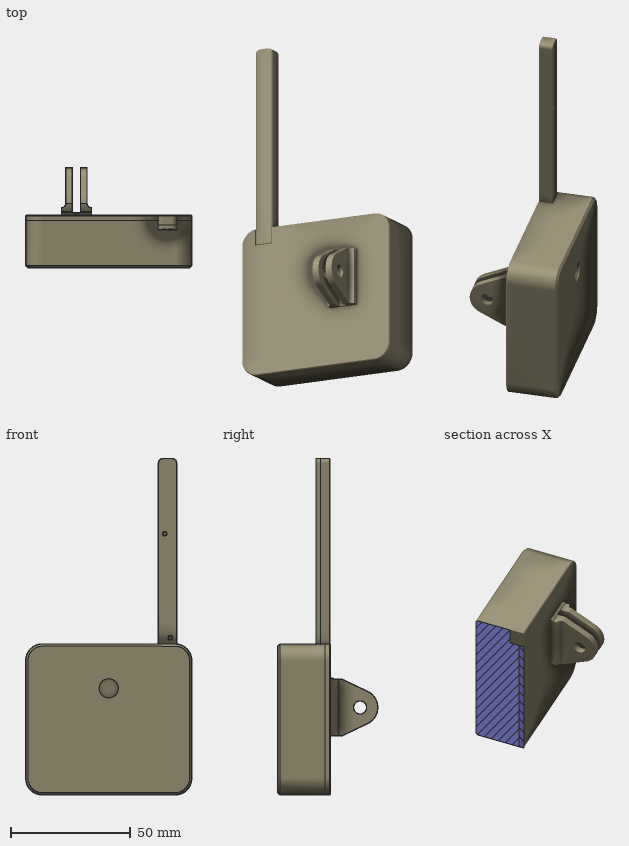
import cadquery as cq
import math


case_width = 69.7
case_height = 63.3
case_depth = 22.1
corner_radius = 7.0
front_chamfer = 1.0
rear_chamfer = 0.35
cover_depth = 2.3

button_diameter = 8.0
button_depth = 2.0
button_z = 44.7

slot_left = 20.6
slot_width = 8.0
slot_height = 7.0
slot_depth = 6.3
slot_right = slot_left + slot_width
slot_floor = case_height - slot_height

clearance = 0.1
antenna_top = 141.0
antenna_corner_radius = 2.0
antenna_width = slot_width - 2 * clearance
antenna_rear = -clearance
antenna_front = -6.0
antenna_seam = -4.1

light_holes = [(23.4, 109.4), (25.8, 65.9)]
light_hole_diameter = 1.5
countersink_diameter = 2.0
light_hole_depth = 1.0

bracket_x = -13.5
bracket_z = 36.7
bracket_width = 12.7
bracket_height = 23.8
plate_depth = 1.0
lip_rise = 0.4
base_depth = 3.1
arm_thickness = 2.8
arm_pitch = 6.2
arm_fillet = 1.7
pivot_reach = 12.4
pivot_radius = 7.5
pivot_hole_diameter = 5.4


def facing_front(y):
    """Workplane at depth y with local axes X and Z; extrusions run toward -Y."""
    return cq.Workplane("XZ", origin=(0, y, 0))


def between_depths(body, rear_y, front_y):
    """The part of a body that lies between two depths."""
    span = 2 * antenna_top
    slab = facing_front(rear_y).rect(span, span).extrude(rear_y - front_y)
    return body.intersect(slab)


def case_outline():
    """Rounded rectangle whose top drops very slightly across the slot to meet the corner arc."""
    right = case_width / 2
    arc_x = right - corner_radius
    arc_z = case_height - corner_radius
    diagonal = corner_radius * math.sqrt(0.5)
    arc_start_z = arc_z + math.sqrt(corner_radius**2 - (slot_right - arc_x) ** 2)
    return (
        facing_front(0)
        .moveTo(-arc_x, 0)
        .lineTo(arc_x, 0)
        .threePointArc((arc_x + diagonal, corner_radius - diagonal), (right, corner_radius))
        .lineTo(right, arc_z)
        .threePointArc((arc_x + diagonal, arc_z + diagonal), (slot_right, arc_start_z))
        .lineTo(slot_left, case_height)
        .lineTo(-arc_x, case_height)
        .threePointArc((-arc_x - diagonal, arc_z + diagonal), (-right, arc_z))
        .lineTo(-right, corner_radius)
        .threePointArc((-arc_x - diagonal, corner_radius - diagonal), (-arc_x, 0))
        .close()
    )


def make_case():
    case = case_outline().extrude(case_depth)
    case = case.faces("<Y").edges().chamfer(front_chamfer)
    case = case.faces(">Y").edges().chamfer(rear_chamfer)
    button_recess = (
        facing_front(button_depth - case_depth)
        .center(0, button_z)
        .circle(button_diameter / 2)
        .extrude(button_depth)
    )
    slot = (
        facing_front(0)
        .center(slot_left + slot_width / 2, case_height)
        .rect(slot_width, 2 * slot_height)
        .extrude(slot_depth)
    )
    return case.cut(button_recess).cut(slot)


def make_antenna():
    height = antenna_top - slot_floor
    strip = (
        facing_front(antenna_rear)
        .center(slot_left + slot_width / 2, slot_floor + height / 2)
        .rect(antenna_width, height)
        .extrude(antenna_rear - antenna_front)
        .edges("|Y and >Z")
        .fillet(antenna_corner_radius)
    )
    strip = strip.faces(">Y").edges().chamfer(rear_chamfer)
    for x, z in light_holes:
        strip = strip.cut(light_hole_cutter(x, z))
    return strip


def light_hole_cutter(x, z):
    """Blind hole with a 45 degree countersink at its mouth, revolved about its own axis."""
    hole_radius = light_hole_diameter / 2
    mouth_radius = countersink_diameter / 2
    countersink_depth = mouth_radius - hole_radius
    return (
        cq.Workplane("XY")
        .lineTo(mouth_radius, 0)
        .lineTo(hole_radius, countersink_depth)
        .lineTo(hole_radius, light_hole_depth)
        .lineTo(0, light_hole_depth)
        .close()
        .revolve(360, (0, 0), (0, 1))
        .translate((x, antenna_front, z))
    )


def make_plate():
    """Mounting plate with a lip along its upper edge that slopes back to the bracket top."""
    half_height = bracket_height / 2
    return (
        cq.Workplane("YZ")
        .moveTo(0, -half_height)
        .lineTo(plate_depth + lip_rise, -half_height)
        .lineTo(plate_depth + lip_rise, half_height)
        .lineTo(plate_depth, half_height + lip_rise)
        .lineTo(0, half_height + lip_rise)
        .close()
        .extrude(bracket_width / 2, both=True)
    )


def make_arm_blank():
    """Both arms and their wide base, with a fillet where each arm leaves the base."""
    half_width = bracket_width / 2
    arm_outer = (arm_pitch + arm_thickness) / 2
    fillet_end_y = base_depth + arm_fillet
    fillet_x = arm_outer + arm_fillet * (1 - math.sqrt(0.5))
    fillet_y = base_depth + arm_fillet * (1 - math.sqrt(0.5))
    tip_y = pivot_reach + pivot_radius
    return (
        cq.Workplane("XY")
        .moveTo(-half_width, 0)
        .lineTo(half_width, 0)
        .lineTo(half_width, base_depth)
        .lineTo(arm_outer + arm_fillet, base_depth)
        .threePointArc((fillet_x, fillet_y), (arm_outer, fillet_end_y))
        .lineTo(arm_outer, tip_y)
        .lineTo(-arm_outer, tip_y)
        .lineTo(-arm_outer, fillet_end_y)
        .threePointArc((-fillet_x, fillet_y), (-arm_outer - arm_fillet, base_depth))
        .lineTo(-half_width, base_depth)
        .close()
        .extrude(bracket_height / 2, both=True)
    )


def make_arm_side():
    """Side outline of the arms: straight flanks running tangent into the rounded tip."""
    half_height = bracket_height / 2
    shoulder_y = base_depth + arm_fillet
    shoulder_distance = math.hypot(shoulder_y - pivot_reach, half_height)
    shoulder_angle = math.atan2(half_height, shoulder_y - pivot_reach)
    tangent_angle = shoulder_angle - math.acos(pivot_radius / shoulder_distance)
    tangent_y = pivot_reach + pivot_radius * math.cos(tangent_angle)
    tangent_z = pivot_radius * math.sin(tangent_angle)
    return (
        cq.Workplane("YZ")
        .moveTo(0, -half_height)
        .lineTo(shoulder_y, -half_height)
        .lineTo(tangent_y, -tangent_z)
        .threePointArc((pivot_reach + pivot_radius, 0), (tangent_y, tangent_z))
        .lineTo(shoulder_y, half_height)
        .lineTo(0, half_height)
        .close()
        .extrude(bracket_width, both=True)
    )


def make_bracket():
    arm_gap = arm_pitch - arm_thickness
    gap = (
        cq.Workplane("XZ", origin=(0, plate_depth, 0))
        .rect(arm_gap, 2 * bracket_height)
        .extrude(-pivot_reach - pivot_radius)
    )
    pivot_hole = (
        cq.Workplane("YZ")
        .center(pivot_reach, 0)
        .circle(pivot_hole_diameter / 2)
        .extrude(bracket_width, both=True)
    )
    arms = make_arm_blank().intersect(make_arm_side())
    bracket = arms.union(make_plate()).cut(gap).cut(pivot_hole)
    return bracket.translate((bracket_x, 0, bracket_z))


case_block = make_case()
housing = between_depths(case_block, -cover_depth, -case_depth)
cover = between_depths(case_block, 0, -cover_depth).union(make_bracket())

antenna_strip = make_antenna()
antenna_back_half = between_depths(antenna_strip, antenna_rear, antenna_seam)
antenna_front_half = between_depths(antenna_strip, antenna_seam, antenna_front)

result = cq.Compound.makeCompound(
    [housing.val(), cover.val(), antenna_back_half.val(), antenna_front_half.val()]
)